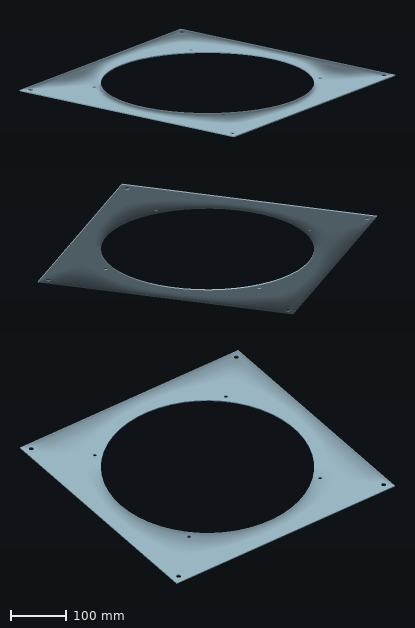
import cadquery as cq

plate_side = 484.0
plate_thickness = 2.0

opening_diameter = 385.0

corner_hole_diameter = 9.0
corner_hole_edge_distance = 14.5
corner_hole_spacing = plate_side - 2 * corner_hole_edge_distance

inner_hole_diameter = 7.0
inner_hole_spacing = 291.0


def drill_square_pattern(plate, spacing, diameter):
    """Drill four through holes at the corners of a centred square."""
    return (
        plate.faces(">Z")
        .workplane(origin=(0, 0, 0))
        .rect(spacing, spacing, forConstruction=True)
        .vertices()
        .hole(diameter)
    )


plate = cq.Workplane("XY").box(plate_side, plate_side, plate_thickness)
plate = plate.faces(">Z").workplane(origin=(0, 0, 0)).hole(opening_diameter)
plate = drill_square_pattern(plate, corner_hole_spacing, corner_hole_diameter)
plate = drill_square_pattern(plate, inner_hole_spacing, inner_hole_diameter)

result = plate